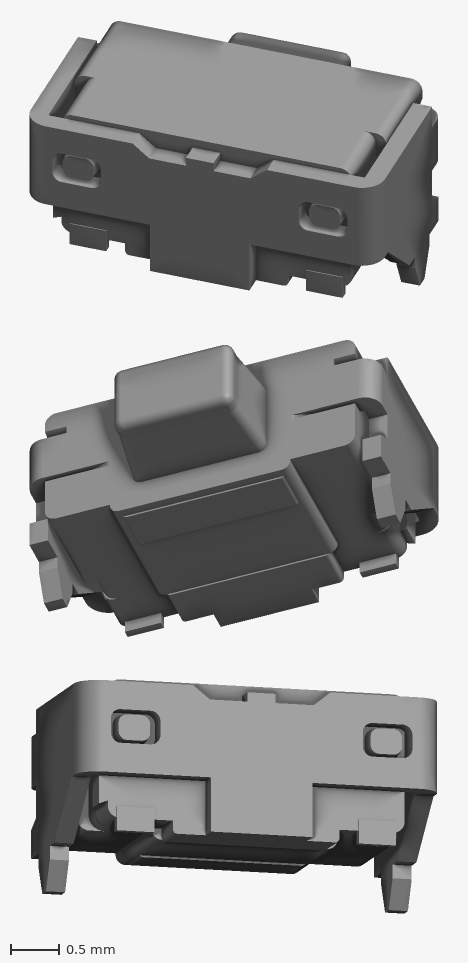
import cadquery as cq


LENGTH = 3.9
HALF_LENGTH = LENGTH / 2
SHEET = 0.205
FRAME_TOP = 1.54
FRONT_PLATE_BOTTOM = 0.575
FRONT_BEND_RADIUS = 0.255
INNER_BEND_RADIUS = 0.02
SIDE_PLATE_BACK = 1.7
HEEL_BACK = 1.895
HEEL_TOP = 0.3
HEEL_SLOPE_TOP = 0.398
SIDE_CUT_START = 0.347
SIDE_CUT_END = 1.002
TONGUE_WIDTH = 1.092

PIN_FRONT = 1.18
PIN_BACK = 1.615
PIN_CENTRE = (PIN_FRONT + PIN_BACK) / 2
PIN_SHOULDER = -0.145
PIN_TIP = -0.452
PIN_TIP_WIDTH = 0.14

NOTCH_FLOOR = 1.395
NOTCH_TOP_WIDTH = 1.482
NOTCH_FLOOR_WIDTH = 1.115
TAB_TOP = 1.495
TAB_WIDTH = 0.305

WINDOW_X = 1.357
WINDOW_Z = 1.065
WINDOW_WIDTH = 0.535
WINDOW_HEIGHT = 0.355
WINDOW_RADIUS = 0.105
PEG_WIDTH = 0.382
PEG_HEIGHT = 0.312
PEG_RADIUS = 0.115
PEG_FACE_Y = 0.045
PEG_TAPER = 7.5

LUG_BOTTOM = 0.745
LUG_TOP = 1.287
LUG_BEND_RADIUS = 0.195
LUG_END_X = 1.482

BODY_FRONT = SHEET
BODY_BACK = 2.045
BODY_TOP = 1.6
BODY_BOTTOM = 0.135
REAR_WIDTH = 3.44
FRONT_WIDTH = 3.198
WIDTH_STEP_Y = 0.948
BODY_EDGE_RADIUS = 0.125
MIDDLE_LOWER_RADIUS = 0.175
RECESS_TOP_BACK = 1.375
RELIEF_BOTTOM = 0.685
RELIEF_BACK_X = 1.015

KEEL_FRONT = 0.65
KEEL_WIDTH = 1.995
KEEL_BOTTOM = 0.02
KEEL_RADIUS = 0.1
FOOT_WIDTH = 1.795
FOOT_RADIUS = 0.045
FOOT_LENGTH = KEEL_FRONT - BODY_FRONT
REAR_FOOT_BACK = 1.945

TERMINAL_X = 1.303
TERMINAL_WIDTH = 0.4
TERMINAL_FRONT = 0.195
TERMINAL_BACK = 0.28
TERMINAL_TOP = 0.255

WEDGE_X = -1.693
WEDGE_TIP_Y = 0.46
WEDGE_ROOT_Y = 0.405
WEDGE_BOTTOM = 0.275
WEDGE_ROOT_BOTTOM = 0.312
WEDGE_TOP = 0.78

BUTTON_TIP = 2.89
BUTTON_STRAIGHT_START = 2.685
BUTTON_BASE_WIDTH = 1.49
BUTTON_TIP_WIDTH = 1.32
BUTTON_BASE_BOTTOM = 0.345
BUTTON_BASE_TOP = 1.24
BUTTON_TIP_BOTTOM = 0.385
BUTTON_TIP_TOP = 1.21
BUTTON_RADIUS = 0.1
BUTTON_TIP_RADIUS = 0.098


def block(x0, x1, y0, y1, z0, z1):
    """Box between two opposite corners."""
    return cq.Workplane("XY").box(x1 - x0, y1 - y0, z1 - z0, centered=False).translate((x0, y0, z0))


def centred_block(width, y0, y1, z0, z1):
    """Box centred on X = 0."""
    return block(-width / 2, width / 2, y0, y1, z0, z1)


def with_mirror(solid):
    """The solid together with its mirror image across X = 0."""
    return solid.union(solid.mirror("YZ"))


def make_frame_sides():
    """U-shaped strip with pins, trimmed to the outline of the side plates."""
    strip = centred_block(LENGTH, 0, HEEL_BACK, PIN_TIP, FRAME_TOP)
    strip = strip.edges("|Z and <Y").fillet(FRONT_BEND_RADIUS)
    inside = centred_block(LENGTH - 2 * SHEET, SHEET, HEEL_BACK, PIN_TIP, FRAME_TOP)
    strip = strip.cut(inside.edges("|Z and <Y").fillet(INNER_BEND_RADIUS))
    outline = [
        (0, FRAME_TOP),
        (SIDE_PLATE_BACK, FRAME_TOP),
        (SIDE_PLATE_BACK, HEEL_SLOPE_TOP),
        (HEEL_BACK, HEEL_TOP),
        (HEEL_BACK, 0),
        (PIN_BACK, 0),
        (PIN_BACK, PIN_SHOULDER),
        (PIN_CENTRE + PIN_TIP_WIDTH / 2, PIN_TIP),
        (PIN_CENTRE - PIN_TIP_WIDTH / 2, PIN_TIP),
        (PIN_FRONT, PIN_SHOULDER),
        (PIN_FRONT, 0),
        (SIDE_CUT_END, 0),
        (SIDE_CUT_START, FRONT_PLATE_BOTTOM),
        (0, FRONT_PLATE_BOTTOM),
    ]
    side_shape = cq.Workplane("YZ").polyline(outline).close().extrude(HALF_LENGTH, both=True)
    return strip.intersect(side_shape)


def make_notch():
    """Cutter for the top notch, leaving the small tab in its middle."""
    notch = (
        cq.Workplane("XZ")
        .moveTo(-NOTCH_TOP_WIDTH / 2, FRAME_TOP)
        .lineTo(-NOTCH_FLOOR_WIDTH / 2, NOTCH_FLOOR)
        .lineTo(NOTCH_FLOOR_WIDTH / 2, NOTCH_FLOOR)
        .lineTo(NOTCH_TOP_WIDTH / 2, FRAME_TOP)
        .close()
        .extrude(-SHEET)
    )
    return notch.cut(centred_block(TAB_WIDTH, 0, SHEET, NOTCH_FLOOR, TAB_TOP))


def make_window():
    """Cutter for the right-hand window."""
    half_height = WINDOW_HEIGHT / 2
    window = centred_block(WINDOW_WIDTH, 0, SHEET, WINDOW_Z - half_height, WINDOW_Z + half_height)
    return window.edges("|Y").fillet(WINDOW_RADIUS).translate((WINDOW_X, 0, 0))


def make_lug():
    """Right-hand lug, bent inwards behind the body."""
    upright = block(HALF_LENGTH - SHEET, HALF_LENGTH, SIDE_PLATE_BACK, BODY_BACK, LUG_BOTTOM, LUG_TOP)
    hook = block(LUG_END_X, HALF_LENGTH, BODY_BACK - SHEET, BODY_BACK, LUG_BOTTOM, LUG_TOP)
    return upright.union(hook).edges("|Z and >X and >Y").fillet(LUG_BEND_RADIUS)


def make_frame():
    tongue = centred_block(TONGUE_WIDTH, 0, SHEET, 0, FRONT_PLATE_BOTTOM)
    frame = make_frame_sides().union(tongue)
    frame = frame.cut(make_notch()).cut(with_mirror(make_window()))
    return frame.union(with_mirror(make_lug()))


def make_body_section(width, y0, y1, lower_radius):
    """Length of body with its four long edges rounded."""
    section = centred_block(width, y0, y1, BODY_BOTTOM, BODY_TOP)
    section = section.edges("|Y and >Z").fillet(BODY_EDGE_RADIUS)
    return section.edges("|Y and <Z").fillet(lower_radius)


def make_recess():
    """Cutter for the right-hand rear corner that receives a lug, under a sloping roof."""
    recess_front = BODY_BACK - SHEET
    return (
        cq.Workplane("YZ", origin=(LUG_END_X, 0, 0))
        .moveTo(recess_front, LUG_BOTTOM)
        .lineTo(BODY_BACK, LUG_BOTTOM)
        .lineTo(BODY_BACK, RECESS_TOP_BACK)
        .lineTo(recess_front, LUG_TOP)
        .close()
        .extrude(HALF_LENGTH - LUG_END_X)
    )


def make_relief():
    """Cutter for the right-hand gap below a lug, with a wall slanting towards the back."""
    return (
        cq.Workplane("XY", origin=(0, 0, RELIEF_BOTTOM))
        .moveTo(REAR_WIDTH / 2, BODY_BACK - SHEET)
        .lineTo(REAR_WIDTH / 2, BODY_BACK)
        .lineTo(RELIEF_BACK_X, BODY_BACK)
        .close()
        .extrude(LUG_BOTTOM - RELIEF_BOTTOM)
    )


def make_foot(y0):
    foot = centred_block(FOOT_WIDTH, y0, y0 + FOOT_LENGTH, 0, BODY_BOTTOM)
    return foot.edges("|Y and <Z").fillet(FOOT_RADIUS)


def make_keel():
    keel_top = BODY_BOTTOM + KEEL_RADIUS
    keel = centred_block(KEEL_WIDTH, KEEL_FRONT, BODY_BACK, KEEL_BOTTOM, keel_top)
    return keel.edges("|Y and <Z").fillet(KEEL_RADIUS)


def make_peg():
    """Right-hand tapered peg that stands inside a window."""
    return (
        cq.Workplane("XZ", origin=(WINDOW_X, BODY_FRONT, WINDOW_Z))
        .sketch()
        .rect(PEG_WIDTH, PEG_HEIGHT)
        .vertices()
        .fillet(PEG_RADIUS)
        .finalize()
        .extrude(BODY_FRONT - PEG_FACE_Y, taper=PEG_TAPER)
    )


def make_wedge():
    """Side wedge with an underside that rises towards the body."""
    root_x = -FRONT_WIDTH / 2
    plan = (
        cq.Workplane("XY")
        .moveTo(WEDGE_X, BODY_FRONT)
        .lineTo(WEDGE_X, WEDGE_TIP_Y)
        .lineTo(root_x, WEDGE_ROOT_Y)
        .lineTo(root_x, BODY_FRONT)
        .close()
        .extrude(WEDGE_TOP)
    )
    elevation = (
        cq.Workplane("XZ")
        .moveTo(WEDGE_X, WEDGE_BOTTOM)
        .lineTo(root_x, WEDGE_ROOT_BOTTOM)
        .lineTo(root_x, WEDGE_TOP)
        .lineTo(WEDGE_X, WEDGE_TOP)
        .close()
        .extrude(-WEDGE_TIP_Y)
    )
    return plan.intersect(elevation)


def make_body():
    body = make_body_section(FRONT_WIDTH, BODY_FRONT, KEEL_FRONT, BODY_EDGE_RADIUS)
    body = body.union(make_body_section(FRONT_WIDTH, KEEL_FRONT, WIDTH_STEP_Y, MIDDLE_LOWER_RADIUS))
    body = body.union(make_body_section(REAR_WIDTH, WIDTH_STEP_Y, BODY_BACK, BODY_EDGE_RADIUS))
    body = body.cut(with_mirror(make_recess())).cut(with_mirror(make_relief()))
    body = body.union(make_keel())
    for foot_front in (BODY_FRONT, REAR_FOOT_BACK - FOOT_LENGTH):
        body = body.union(make_foot(foot_front))
    return body.union(with_mirror(make_peg())).union(make_wedge())


def make_terminal():
    """Right-hand solder terminal."""
    terminal = centred_block(TERMINAL_WIDTH, TERMINAL_FRONT, TERMINAL_BACK, 0, TERMINAL_TOP)
    return terminal.translate((TERMINAL_X, 0, 0))


def button_section(width, bottom, top):
    """Rounded rectangle centred on X = 0."""
    section = cq.Sketch().rect(width, top - bottom).vertices().fillet(BUTTON_RADIUS)
    return section.moved(cq.Location(cq.Vector(0, (bottom + top) / 2, 0)))


def make_button():
    """Button tapering in width and height to a short straight tip with rounded edges."""
    base_section = button_section(BUTTON_BASE_WIDTH, BUTTON_BASE_BOTTOM, BUTTON_BASE_TOP)
    tip_section = button_section(BUTTON_TIP_WIDTH, BUTTON_TIP_BOTTOM, BUTTON_TIP_TOP)
    taper_length = BUTTON_STRAIGHT_START - BODY_BACK
    tapered_stem = (
        cq.Workplane("XZ", origin=(0, BODY_BACK, 0))
        .placeSketch(base_section, tip_section.moved(cq.Location(cq.Vector(0, 0, -taper_length))))
        .loft(ruled=True)
    )
    tip = (
        cq.Workplane("XZ", origin=(0, BUTTON_STRAIGHT_START, 0))
        .placeSketch(tip_section)
        .extrude(BUTTON_STRAIGHT_START - BUTTON_TIP)
        .faces(">Y")
        .edges()
        .fillet(BUTTON_TIP_RADIUS)
    )
    return tapered_stem.union(tip)


result = make_frame().union(make_body()).union(with_mirror(make_terminal())).union(make_button())